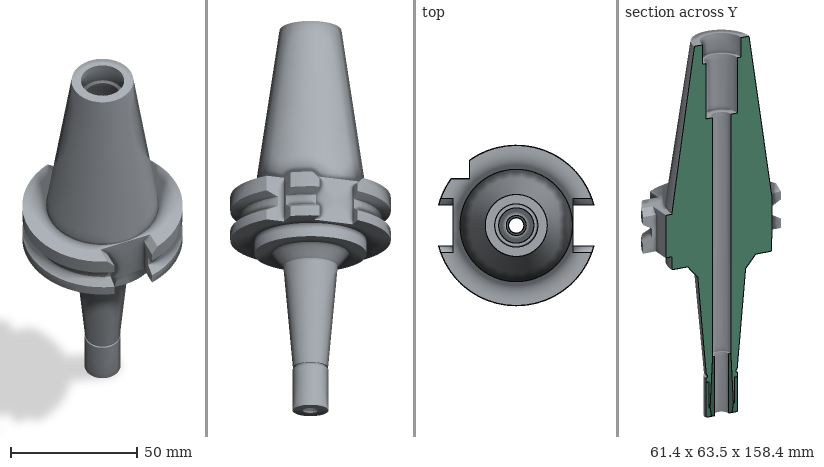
import cadquery as cq
import math


TOTAL_LENGTH = 158.4
TAPER_LENGTH = 68.5
TOP_Z = TAPER_LENGTH
TIP_Z = TOP_Z - TOTAL_LENGTH

TAPER_RATE = 7 / 24
GAUGE_DIAMETER = 44.5
GAUGE_RADIUS = GAUGE_DIAMETER / 2
SHANK_TOP_RADIUS = GAUGE_RADIUS - TAPER_LENGTH * TAPER_RATE / 2

FLANGE_DIAMETER = 63.5
FLANGE_RADIUS = FLANGE_DIAMETER / 2
FLANGE_TOP_Z = -1.0
FLANGE_BOTTOM_Z = -19.2
GROOVE_ROOT_RADIUS = 28.0
GROOVE_ROOT_WIDTH = 3.8
GROOVE_MID_Z = -11.1
GROOVE_FLANK_ANGLE = 30.0
GROOVE_FLANK_RISE = (FLANGE_RADIUS - GROOVE_ROOT_RADIUS) * math.tan(math.radians(GROOVE_FLANK_ANGLE))

SLOT_WIDTH = 16.2
SLOT_CHAMFER = 2.7
LEFT_SLOT_FLOOR_X = -25.0
RIGHT_SLOT_FLOOR_X = 22.5
NOTCH_OFFSET = 18.5

COLLAR_RADIUS = GAUGE_RADIUS
COLLAR_BOTTOM_Z = -24.7
SHOULDER_TOP_RADIUS = 15.2
SHOULDER_BOTTOM_RADIUS = 10.8
SHOULDER_BOTTOM_Z = -30.0
NECK_END_RADIUS = 7.0
NECK_END_Z = -72.0

RELIEF_RADIUS = 6.5
LAND_RADIUS = 7.1
LAND_TOP_Z = -73.0
LAND_BOTTOM_Z = -75.2

NOSE_RADIUS = 5.9
NOSE_END_Z = TIP_Z + 4.0

MOUTH_RADIUS = 8.5
MOUTH_DEPTH = 8.2
STUD_BORE_RADIUS = 7.0
STUD_BORE_DEPTH = 31.7
COOLANT_BORE_RADIUS = 4.0

NUT_RADIUS = LAND_RADIUS

COLLET_BORE_RADIUS = 3.0
COLLET_TOP_RADIUS = COOLANT_BORE_RADIUS
COLLET_WIDEST_RADIUS = 5.0
COLLET_TIP_RADIUS = 4.5
COLLET_LENGTH = 25.3
COLLET_TOP_Z = TIP_Z + COLLET_LENGTH


def revolve_profile(points):
    """Revolve a closed outline of (radius, z) points about the Z axis."""
    return cq.Workplane("XZ").polyline(points).close().revolve(360, (0, 0), (0, 1))


def make_gripper_groove():
    root_half = GROOVE_ROOT_WIDTH / 2
    mouth_half = root_half + GROOVE_FLANK_RISE
    return revolve_profile([
        (GROOVE_ROOT_RADIUS, GROOVE_MID_Z + root_half),
        (FLANGE_RADIUS, GROOVE_MID_Z + mouth_half),
        (FLANGE_RADIUS, GROOVE_MID_Z - mouth_half),
        (GROOVE_ROOT_RADIUS, GROOVE_MID_Z - root_half),
    ])


def make_drive_slot(floor_x):
    """Slot cutter running from its flat floor out past the flange, with chamfered top edges."""
    half = SLOT_WIDTH / 2
    outward = math.copysign(FLANGE_RADIUS, floor_x)
    return (
        cq.Workplane("YZ", origin=(floor_x, 0, 0))
        .polyline([
            (-half, FLANGE_BOTTOM_Z),
            (half, FLANGE_BOTTOM_Z),
            (half, FLANGE_TOP_Z - SLOT_CHAMFER),
            (half + SLOT_CHAMFER, FLANGE_TOP_Z),
            (-half - SLOT_CHAMFER, FLANGE_TOP_Z),
            (-half, FLANGE_TOP_Z - SLOT_CHAMFER),
        ])
        .close()
        .extrude(outward)
    )


def make_orientation_notch():
    """Square corner cutter that passes through the full height of the flange."""
    height = FLANGE_TOP_Z - FLANGE_BOTTOM_Z
    return (
        cq.Workplane("XY")
        .box(FLANGE_RADIUS, FLANGE_RADIUS, height, centered=False)
        .translate((-NOTCH_OFFSET - FLANGE_RADIUS, NOTCH_OFFSET, FLANGE_BOTTOM_Z))
    )


def make_flange():
    flange = (
        cq.Workplane("XY", origin=(0, 0, FLANGE_BOTTOM_Z))
        .circle(FLANGE_RADIUS)
        .extrude(FLANGE_TOP_Z - FLANGE_BOTTOM_Z)
        .cut(make_gripper_groove())
        .cut(make_orientation_notch())
    )
    for floor_x in (LEFT_SLOT_FLOOR_X, RIGHT_SLOT_FLOOR_X):
        flange = flange.cut(make_drive_slot(floor_x))
    return flange


def make_holder_core():
    """Shank, collar, neck, end land and nose as one turned shape, solid inside."""
    return revolve_profile([
        (0, TOP_Z),
        (SHANK_TOP_RADIUS, TOP_Z),
        (GAUGE_RADIUS, 0),
        (COLLAR_RADIUS, COLLAR_BOTTOM_Z),
        (SHOULDER_TOP_RADIUS, COLLAR_BOTTOM_Z),
        (SHOULDER_BOTTOM_RADIUS, SHOULDER_BOTTOM_Z),
        (NECK_END_RADIUS, NECK_END_Z),
        (RELIEF_RADIUS, NECK_END_Z),
        (RELIEF_RADIUS, LAND_TOP_Z),
        (LAND_RADIUS, LAND_TOP_Z),
        (LAND_RADIUS, LAND_BOTTOM_Z),
        (NOSE_RADIUS, LAND_BOTTOM_Z),
        (NOSE_RADIUS, NOSE_END_Z),
        (0, NOSE_END_Z),
    ])


def make_holder_bores():
    """Stepped through bore that ends in the taper seat of the collet."""
    mouth_floor_z = TOP_Z - MOUTH_DEPTH
    stud_floor_z = TOP_Z - STUD_BORE_DEPTH
    return revolve_profile([
        (0, TOP_Z),
        (MOUTH_RADIUS, TOP_Z),
        (MOUTH_RADIUS, mouth_floor_z),
        (STUD_BORE_RADIUS, mouth_floor_z),
        (STUD_BORE_RADIUS, stud_floor_z),
        (COOLANT_BORE_RADIUS, stud_floor_z),
        (COOLANT_BORE_RADIUS, COLLET_TOP_Z),
        (COLLET_WIDEST_RADIUS, NOSE_END_Z),
        (0, NOSE_END_Z),
    ])


def make_holder():
    return make_holder_core().union(make_flange()).cut(make_holder_bores())


def make_nut():
    """Sleeve around the nose, closed at the tip by a lip that bears on the front cone of the collet."""
    return revolve_profile([
        (NOSE_RADIUS, LAND_BOTTOM_Z),
        (NUT_RADIUS, LAND_BOTTOM_Z),
        (NUT_RADIUS, TIP_Z),
        (COLLET_TIP_RADIUS, TIP_Z),
        (COLLET_WIDEST_RADIUS, NOSE_END_Z),
        (NOSE_RADIUS, NOSE_END_Z),
    ])


def make_collet():
    """Double cone with a straight clamping bore."""
    return revolve_profile([
        (COLLET_BORE_RADIUS, COLLET_TOP_Z),
        (COLLET_TOP_RADIUS, COLLET_TOP_Z),
        (COLLET_WIDEST_RADIUS, NOSE_END_Z),
        (COLLET_TIP_RADIUS, TIP_Z),
        (COLLET_BORE_RADIUS, TIP_Z),
    ])


holder = make_holder()
nut = make_nut()
collet = make_collet()

result = cq.Compound.makeCompound([holder.val(), nut.val(), collet.val()])